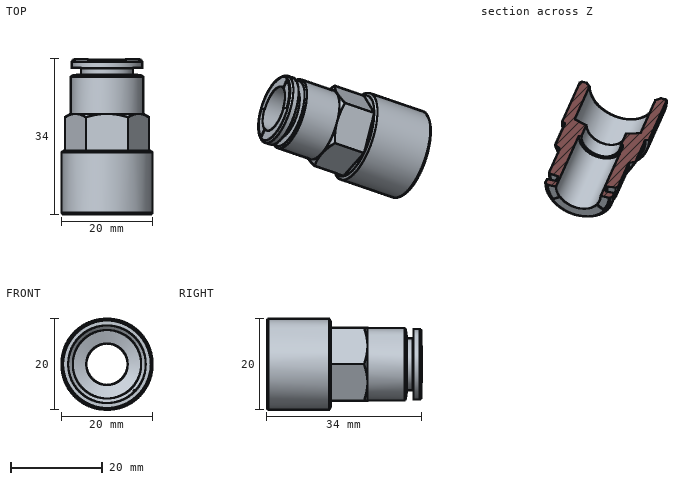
import cadquery as cq
import math


BACK_CHAMFER_ANGLE = 30.0

COLLAR_END = 14.0
HEX_END = 22.0
BODY_END = 30.65
RING_START = 32.1
RING_FACE = 33.9
TOTAL_LENGTH = 34.0

COLLAR_DIAMETER = 20.0
COLLAR_MOUTH_CHAMFER = 0.4
COLLAR_BACK_CHAMFER_LENGTH = 0.4

HEX_SIDES = 6
HEX_ACROSS_FLATS = 16.0

BODY_DIAMETER = 15.9
BODY_CHAMFER_WIDTH = 0.45
BODY_CHAMFER_LENGTH = 0.35
BODY_END_DIAMETER = 12.2
BODY_END_CONE_LENGTH = 0.2

NECK_DIAMETER = 11.4
NECK_FLARE_WIDTH = 0.1
NECK_FLARE_LENGTH = 0.2
RING_DIAMETER = 15.5
RING_CHAMFER_WIDTH = 0.45
RING_CHAMFER_LENGTH = 0.5
PAD_OUTER_DIAMETER = 14.0
PAD_WIDTH = 7.8

MOUTH_DIAMETER = 17.0
MOUTH_ANGLE = 90.0
THREAD_DIAMETER = 15.0
THREAD_DEPTH = 12.0
CONE_ANGLE = 140.0
PASSAGE_DIAMETER = 9.0
TUBE_DIAMETER = 10.15
TUBE_SOCKET_DEPTH = 17.0


def revolve_profile(points):
    """Revolve a closed (radius, Y) profile about the Y axis."""
    return cq.Workplane("XY").polyline(points).close().revolve(360, (0, 0, 0), (0, 1, 0))


def cone_length(large_diameter, small_diameter, included_angle):
    """Axial length of a cone between two diameters."""
    return (large_diameter - small_diameter) / 2 / math.tan(math.radians(included_angle / 2))


def cylinder(diameter, start, end):
    """Cylinder on the Y axis between two stations."""
    radius = diameter / 2
    return revolve_profile([(0, start), (radius, start), (radius, end), (0, end)])


def make_collar():
    """Threaded collar with a 45 degree mouth chamfer and a flatter chamfer at its back."""
    radius = COLLAR_DIAMETER / 2
    back_chamfer_width = COLLAR_BACK_CHAMFER_LENGTH / math.tan(math.radians(BACK_CHAMFER_ANGLE))
    return revolve_profile([
        (0, 0),
        (radius - COLLAR_MOUTH_CHAMFER, 0),
        (radius, COLLAR_MOUTH_CHAMFER),
        (radius, COLLAR_END - COLLAR_BACK_CHAMFER_LENGTH),
        (radius - back_chamfer_width, COLLAR_END),
        (0, COLLAR_END),
    ])


def make_hexagon():
    """Hexagon with corners on +/-X, its +Y corners trimmed by a shallow cone."""
    across_corners = HEX_ACROSS_FLATS / math.cos(math.pi / HEX_SIDES)
    prism = (
        cq.Workplane("XZ", origin=(0, COLLAR_END, 0))
        .polygon(HEX_SIDES, across_corners)
        .extrude(COLLAR_END - HEX_END)
    )
    flat_radius = HEX_ACROSS_FLATS / 2
    trim_radius = across_corners
    trim_drop = (trim_radius - flat_radius) * math.tan(math.radians(BACK_CHAMFER_ANGLE))
    trim = revolve_profile([
        (0, 0),
        (trim_radius, 0),
        (trim_radius, HEX_END - trim_drop),
        (flat_radius, HEX_END),
        (0, HEX_END),
    ])
    return prism.intersect(trim)


def make_body():
    """Tube body with a chamfered rim and a shallow conical end."""
    radius = BODY_DIAMETER / 2
    cone_start = BODY_END - BODY_END_CONE_LENGTH
    return revolve_profile([
        (0, COLLAR_END),
        (radius, COLLAR_END),
        (radius, cone_start - BODY_CHAMFER_LENGTH),
        (radius - BODY_CHAMFER_WIDTH, cone_start),
        (BODY_END_DIAMETER / 2, BODY_END),
        (0, BODY_END),
    ])


def make_release_ring():
    """Release ring on a neck that runs inside the body, joined by a small flare."""
    neck_radius = NECK_DIAMETER / 2
    radius = RING_DIAMETER / 2
    return revolve_profile([
        (0, HEX_END),
        (neck_radius, HEX_END),
        (neck_radius, RING_START - NECK_FLARE_LENGTH),
        (neck_radius + NECK_FLARE_WIDTH, RING_START),
        (radius, RING_START),
        (radius, RING_FACE - RING_CHAMFER_LENGTH),
        (radius - RING_CHAMFER_WIDTH, RING_FACE),
        (0, RING_FACE),
    ])


def make_pads():
    """Two low raised sectors on the ring face, centred on +X and -X."""
    outer_radius = PAD_OUTER_DIAMETER / 2
    corner_z = PAD_WIDTH / 2
    corner_x = math.sqrt(outer_radius**2 - corner_z**2)
    pads = cq.Workplane("XZ", origin=(0, RING_FACE, 0))
    for side in (1, -1):
        pads = (
            pads.moveTo(0, 0)
            .lineTo(side * corner_x, -corner_z)
            .threePointArc((side * outer_radius, 0), (side * corner_x, corner_z))
            .close()
        )
    return pads.extrude(RING_FACE - TOTAL_LENGTH)


def make_bores():
    """Threaded bore with countersunk mouth and conical floor, passage and tube socket."""
    mouth_depth = cone_length(MOUTH_DIAMETER, THREAD_DIAMETER, MOUTH_ANGLE)
    cone_end = THREAD_DEPTH + cone_length(THREAD_DIAMETER, PASSAGE_DIAMETER, CONE_ANGLE)
    thread_bore = revolve_profile([
        (0, 0),
        (MOUTH_DIAMETER / 2, 0),
        (THREAD_DIAMETER / 2, mouth_depth),
        (THREAD_DIAMETER / 2, THREAD_DEPTH),
        (PASSAGE_DIAMETER / 2, cone_end),
        (0, cone_end),
    ])
    passage = cylinder(PASSAGE_DIAMETER, THREAD_DEPTH, TOTAL_LENGTH)
    socket = cylinder(TUBE_DIAMETER, TOTAL_LENGTH - TUBE_SOCKET_DEPTH, TOTAL_LENGTH)
    return thread_bore.union(passage).union(socket)


outside = make_collar()
for section in (make_hexagon(), make_body(), make_release_ring(), make_pads()):
    outside = outside.union(section)
result = outside.cut(make_bores())